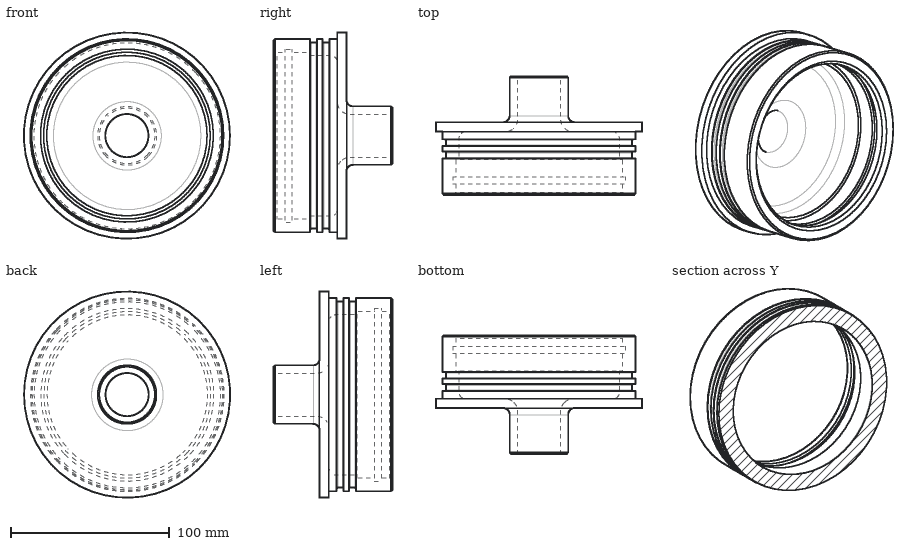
import cadquery as cq

length = 75.0
flange_diameter = 130.0
body_diameter = 122.0
boss_diameter = 37.0
through_bore_diameter = 27.0

flange_front = 40.0
flange_thickness = 6.0
flange_back = flange_front + flange_thickness
cavity_depth = flange_front

inner_bore_diameter = 101.0
outer_bore_diameter = 105.0
retaining_groove_diameter = 109.0
mouth_chamfer = (retaining_groove_diameter - outer_bore_diameter) / 2
retaining_groove_start = 7.0
retaining_groove_end = 11.5
inner_bore_start = 22.5

seal_groove_diameter = 117.4
seal_groove_width = 4.0
seal_groove_starts = (23.3, 31.1)
seal_edge_chamfer = 0.3
seal_floor_fillet = 0.5

end_chamfer = 1.0
corner_radius = 4.0
bore_entry_radius = 8.0


def cylinder(diameter, start, end):
    """Solid cylinder on the Y axis between two stations."""
    plane = cq.Workplane("XZ", origin=(0, start, 0))
    return plane.circle(diameter / 2).extrude(start - end)


def revolve_about_axis(profile):
    """Solid of revolution about Y from a profile of radius against station."""
    return profile.close().revolve(360, (0, 0, 0), (0, 1, 0))


def make_outside():
    body = cylinder(body_diameter, 0, flange_back).faces("<Y").edges().chamfer(end_chamfer)
    flange = cylinder(flange_diameter, flange_front, flange_back)
    boss_radius = boss_diameter / 2
    boss = revolve_about_axis(
        cq.Workplane("XY")
        .moveTo(0, flange_back)
        .lineTo(boss_radius + corner_radius, flange_back)
        .radiusArc((boss_radius, flange_back + corner_radius), corner_radius)
        .lineTo(boss_radius, length - end_chamfer)
        .lineTo(boss_radius - end_chamfer, length)
        .lineTo(0, length)
    )
    return body.union(flange).union(boss)


def make_seal_groove(start):
    """Ring to remove: rounded floor corners and chamfered outer edges."""
    end = start + seal_groove_width
    floor_radius = seal_groove_diameter / 2
    rim_radius = body_diameter / 2
    corner = seal_floor_fillet
    chamfer = seal_edge_chamfer
    return revolve_about_axis(
        cq.Workplane("XY")
        .moveTo(floor_radius + corner, start)
        .lineTo(rim_radius - chamfer, start)
        .lineTo(rim_radius, start - chamfer)
        .lineTo(rim_radius, end + chamfer)
        .lineTo(rim_radius - chamfer, end)
        .lineTo(floor_radius + corner, end)
        .radiusArc((floor_radius, end - corner), -corner)
        .lineTo(floor_radius, start + corner)
        .radiusArc((floor_radius + corner, start), -corner)
    )


def make_cavity():
    """Volume to remove: stepped bore, retaining groove and mouth chamfer."""
    inner = cylinder(inner_bore_diameter, 0, cavity_depth).faces(">Y").edges().fillet(corner_radius)
    outer = cylinder(outer_bore_diameter, 0, inner_bore_start)
    groove = cylinder(retaining_groove_diameter, retaining_groove_start, retaining_groove_end)
    mouth_radius = retaining_groove_diameter / 2
    mouth = revolve_about_axis(
        cq.Workplane("XY")
        .lineTo(mouth_radius, 0)
        .lineTo(mouth_radius - mouth_chamfer, mouth_chamfer)
        .lineTo(0, mouth_chamfer)
    )
    return inner.union(outer).union(groove).union(mouth)


def make_bore():
    """Through bore, flared by a convex quarter round where it meets the cavity floor."""
    bore_radius = through_bore_diameter / 2
    flare_end = cavity_depth + bore_entry_radius
    return revolve_about_axis(
        cq.Workplane("XY")
        .moveTo(0, cavity_depth)
        .lineTo(bore_radius + bore_entry_radius, cavity_depth)
        .radiusArc((bore_radius, flare_end), bore_entry_radius)
        .lineTo(bore_radius, length)
        .lineTo(0, length)
    )


result = make_outside()
for groove_start in seal_groove_starts:
    result = result.cut(make_seal_groove(groove_start))
result = result.cut(make_cavity()).cut(make_bore())